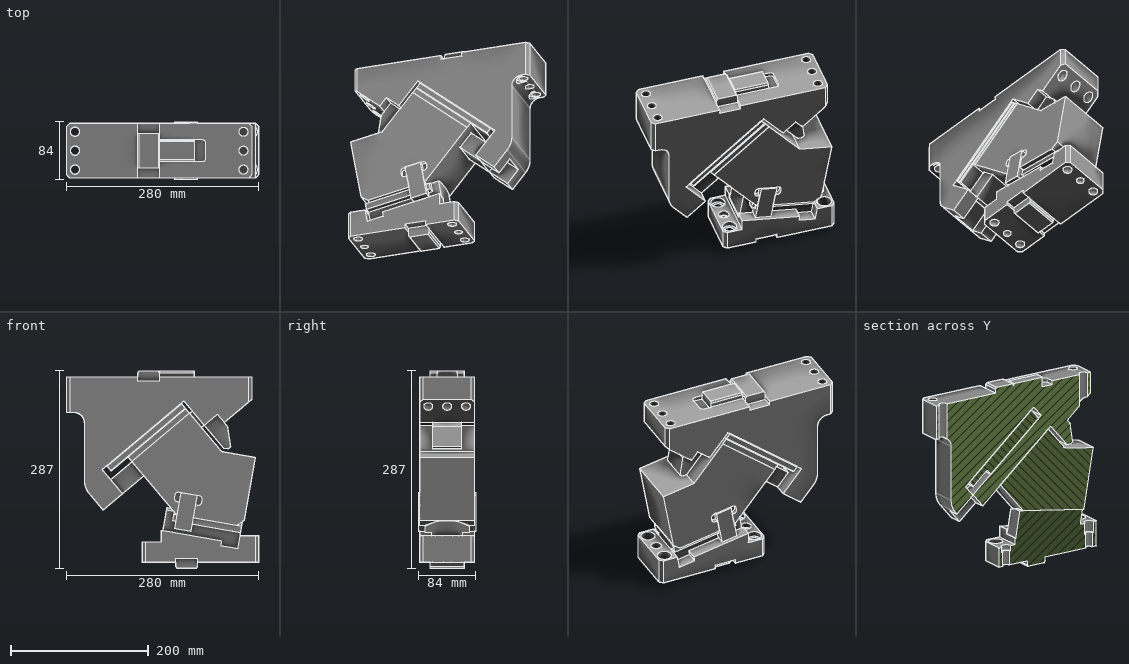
import cadquery as cq
import math

body_width = 80.0
corner_chamfer = 5.0
hole_inset = 12.5
hole_spacing = 27.5
hole_diameter = 13.0
seat_diameter = 20.0

key_length = 50.0
key_width = 32.0
groove_depth = 6.0
key_projection = 8.5
key_chamfer_height = 2.8
key_chamfer_width = 1.8

base_left = 110.0
base_right = 280.0
base_left_height = 30.0
base_right_height = 39.0
base_wall_x = 137.7
base_key_left = 159.0
base_seat_diameter = 20.5
base_seat_floor = 22.0
dowel_diameter = 15.0
dowel_hole_diameter = 11.0

holder_length = 270.0
holder_top = 270.0
holder_end_height = 32.7
flange_thickness = 52.0
flange_overhang = 26.0
flange_fillet = 15.0
foot_fillet = 30.0
foot_length = 37.0
heel_length = 25.0
holder_key_left = 103.5
lengthwise_key_length = 50.5
lengthwise_key_width = 30.0
lengthwise_slot_end = 202.5
lengthwise_slot_width = 32.0
lengthwise_slot_fillet = 5.0

slide_angle = 40.0
slide_corner_x = 170.9
slide_corner_z = 234.7
slide_length = 155.0
slide_depth = 46.0
rail_width = 42.0
rail_start = 19.0
foot_slot_width = 37.0
foot_slot_start = 20.0
stop_face_depth = 90.0
stop_tip_depth = 94.7
stop_tip_width = 5.0
stop_nose_width = 9.6
stop_shoulder_depth = 69.3
stop_overlap = 1.0

end_gap = 5.0
plate_length = 141.5
plate_thickness = 10.0
gib_end = 18.5
gib_inset = 0.5
joint_gap = 0.8
joint_depth = 2.0
slider_length = 109.5
slider_height = 102.2
slider_overhang = 2.4
slider_chamfer = 9.2

drive_angle = 10.0
seat_corner_x = 250.4
seat_corner_z = 27.0
pocket_depth = 7.0
pocket_length = 25.0
driver_length = 112.0
driver_width = 45.0
driver_notch_overrun = 2.0
wing_width = 65.0
wing_length = 100.3
wing_bottom = 16.6
wing_top = 26.0
roof_angle = 24.0
roof_flat_width = 29.0
roof_fillet = 30.0

hook_right = -71.4
hook_width = 24.1
hook_bottom = 6.0
hook_top = 59.0
hook_outer_y = 42.0
hook_inner_y = 33.7
hook_lip_y = 28.0
hook_lip_top = wing_bottom
recess_length = 40.0
recess_height = 14.0
recess_fillet = 5.0


def slide_point(back, depth):
    """Point 'back' along the slide from its upper corner and 'depth' away from its face."""
    angle = math.radians(slide_angle)
    x = slide_corner_x - back * math.cos(angle) + depth * math.sin(angle)
    z = slide_corner_z - back * math.sin(angle) - depth * math.cos(angle)
    return x, z


def drive_point(along, height):
    """Point 'along' the inclined seat from its right-hand corner and 'height' above it."""
    angle = math.radians(drive_angle)
    x = seat_corner_x + along * math.cos(angle) + height * math.sin(angle)
    z = seat_corner_z - along * math.sin(angle) + height * math.cos(angle)
    return x, z


def drive_height(point):
    """Height of an (x, z) point above the inclined seat."""
    angle = math.radians(drive_angle)
    x, z = point
    return (x - seat_corner_x) * math.sin(angle) + (z - seat_corner_z) * math.cos(angle)


def slider_end_point(back, height):
    """Point where the slider end at 'back' reaches the given height above the inclined seat."""
    fall = math.cos(math.radians(slide_angle + drive_angle))
    depth = (drive_height(slide_point(back, 0)) - height) / fall
    return slide_point(back, depth)


def prism(points, y_min, y_max):
    return cq.Workplane("XZ", origin=(0, y_max, 0)).polyline(points).close().extrude(y_max - y_min)


def slide_band(start, end):
    """Outline of a strip along the whole slide between two depths."""
    return [
        slide_point(0, start),
        slide_point(slide_length, start),
        slide_point(slide_length, end),
        slide_point(0, end),
    ]


def centred_prism(points, width):
    return prism(points, -width / 2, width / 2)


def block(x_min, x_max, y_min, y_max, z_min, z_max):
    size = (x_max - x_min, y_max - y_min, z_max - z_min)
    return cq.Workplane("XY").box(*size, centered=False).translate((x_min, y_min, z_min))


def vertical_holes(x, y_places, diameter, z_min, z_max):
    places = [(x, y) for y in y_places]
    plane = cq.Workplane("XY", origin=(0, 0, z_min))
    return plane.pushPoints(places).circle(diameter / 2).extrude(z_max - z_min)


outer_rows = (-hole_spacing, hole_spacing)
all_rows = (-hole_spacing, 0, hole_spacing)


def cross_key(x_left):
    """Crosswise key standing on z = 0, with both long top edges chamfered."""
    height = groove_depth + key_projection
    x_right = x_left + key_width
    points = [
        (x_left, 0),
        (x_right, 0),
        (x_right, height - key_chamfer_height),
        (x_right - key_chamfer_width, height),
        (x_left + key_chamfer_width, height),
        (x_left, height - key_chamfer_height),
    ]
    return centred_prism(points, key_length)


def lengthwise_key():
    """Lengthwise key standing on z = 0, with both long top edges chamfered."""
    height = groove_depth + key_projection
    half = lengthwise_key_width / 2
    outline = [
        (-half, 0),
        (half, 0),
        (half, height - key_chamfer_height),
        (half - key_chamfer_width, height),
        (key_chamfer_width - half, height),
        (-half, height - key_chamfer_height),
    ]
    key = cq.Workplane("YZ").polyline(outline).close().extrude(lengthwise_key_length)
    return key.translate((holder_key_left + key_width, 0, 0))


def make_rail():
    """Central rail of the holder, which fills a matching slot in the slider."""
    return centred_prism(slide_band(rail_start, slide_depth), rail_width)


def make_stop():
    stop = [
        slide_point(0, slide_depth - stop_overlap),
        slide_point(0, stop_face_depth),
        slide_point(-stop_tip_width, stop_tip_depth),
        slide_point(-stop_nose_width, stop_tip_depth),
        slide_point(-heel_length, stop_shoulder_depth),
        slide_point(-heel_length, slide_depth - stop_overlap),
    ]
    return centred_prism(stop, rail_width)


def make_foot_slot():
    foot_end = slide_length + foot_length
    foot_slot = [
        slide_point(slide_length, foot_slot_start),
        slide_point(slide_length, slide_depth),
        slide_point(foot_end, slide_depth),
        slide_point(foot_end, foot_slot_start),
    ]
    return centred_prism(foot_slot, foot_slot_width)


def fillet_cross_edge(solid, x, z, radius):
    """Round the edge that runs along Y through (x, z)."""
    return solid.edges(cq.selectors.NearestToPointSelector((x, 0, z))).fillet(radius)


def make_holder_block():
    angle = math.radians(slide_angle)
    toe_x, toe_z = slide_point(slide_length + foot_length, slide_depth)
    foot_z = toe_z + (toe_x - flange_overhang) / math.tan(angle)
    flange_z = holder_top - flange_thickness
    end_z = holder_top - holder_end_height
    slope_depth = (holder_length - slide_corner_x) * math.sin(angle)
    slope_depth += (slide_corner_z - end_z) * math.cos(angle)
    points = [
        (0, holder_top),
        (holder_length, holder_top),
        (holder_length, end_z),
        slide_point(-heel_length, slope_depth),
        slide_point(-heel_length, slide_depth),
        slide_point(0, slide_depth),
        slide_point(0, 0),
        slide_point(slide_length, 0),
        slide_point(slide_length, slide_depth),
        (toe_x, toe_z),
        (flange_overhang, foot_z),
        (flange_overhang, flange_z),
        (0, flange_z),
    ]
    holder = centred_prism(points, body_width)
    holder = fillet_cross_edge(holder, flange_overhang, foot_z, foot_fillet)
    holder = fillet_cross_edge(holder, flange_overhang, flange_z, flange_fillet)
    return holder.faces("<X or >X").edges("|Z").chamfer(corner_chamfer)


def cut_holder_holes(holder):
    seat_z = holder_top - flange_thickness
    for x in (hole_inset, holder_length - hole_inset):
        holder = holder.cut(vertical_holes(x, all_rows, hole_diameter, seat_z - flange_fillet, holder_top))
    return holder.cut(vertical_holes(hole_inset, outer_rows, seat_diameter, seat_z - flange_fillet, seat_z))


def add_holder_keys(holder):
    half = body_width / 2
    slot_half = lengthwise_slot_width / 2
    groove_z = holder_top - groove_depth
    groove_right = holder_key_left + key_width
    groove = block(holder_key_left, groove_right, -half, half, groove_z, holder_top)
    slot = block(holder_key_left, lengthwise_slot_end, -slot_half, slot_half, groove_z, holder_top)
    slot = slot.edges("|Z and >X").fillet(lengthwise_slot_fillet)
    holder = holder.cut(groove).cut(slot)
    for key in (cross_key(holder_key_left), lengthwise_key()):
        holder = holder.union(key.translate((0, 0, groove_z)))
    return holder


def make_holder():
    holder = make_holder_block().cut(make_foot_slot())
    holder = holder.union(make_rail()).union(make_stop())
    return add_holder_keys(cut_holder_holes(holder))


def incline(solid):
    """Turn a level solid about the Y axis and set it on the seat's right-hand corner."""
    return solid.rotate((0, 0, 0), (0, 1, 0), drive_angle).translate((seat_corner_x, 0, seat_corner_z))


def make_roofed_bar(right, left):
    """Level bar of full wing width with the driver's V-shaped, flat-topped roof."""
    half = wing_width / 2
    ridge_y = roof_flat_width / 2
    ridge_height = wing_top + (half - ridge_y) * math.tan(math.radians(roof_angle))
    outline = [
        (half, -pocket_depth),
        (half, wing_top),
        (ridge_y, ridge_height),
        (-ridge_y, ridge_height),
        (-half, wing_top),
        (-half, -pocket_depth),
    ]
    bar = cq.Workplane("YZ", origin=(left, 0, 0)).polyline(outline).close().extrude(right - left)
    return bar.faces(">Z").edges("|X").fillet(roof_fillet)


def make_driver():
    neck = driver_width / 2
    half = wing_width / 2
    roof_limit = wing_top + wing_width
    bar = make_roofed_bar(0, -driver_length)
    core = bar.intersect(block(-driver_length, 0, -neck, neck, -pocket_depth, roof_limit))
    wings = bar.intersect(block(-wing_length, 0, -half, half, wing_bottom, roof_limit))
    return incline(core.union(wings))


def make_base():
    seat_rise = math.tan(math.radians(drive_angle))
    wall_z = seat_corner_z + (seat_corner_x - base_wall_x) * seat_rise
    wall_top = (base_right_height - seat_corner_z) / math.cos(math.radians(drive_angle))
    points = [
        (base_left, 0),
        (base_right, 0),
        (base_right, base_right_height),
        drive_point(0, wall_top),
        drive_point(0, -pocket_depth),
        drive_point(-pocket_length, -pocket_depth),
        drive_point(-pocket_length, 0),
        (base_wall_x, wall_z),
        (base_wall_x, base_left_height),
        (base_left, base_left_height),
    ]
    base = centred_prism(points, body_width)
    base = base.faces("<X or >X").edges("|Z").chamfer(corner_chamfer)
    wall_along = (base_wall_x - seat_corner_x) / math.cos(math.radians(drive_angle)) - driver_notch_overrun
    notch = [
        drive_point(wall_along, 0.0),
        drive_point(-driver_length, 0.0),
        drive_point(-driver_length, -pocket_depth),
        drive_point(wall_along, -pocket_depth),
    ]
    driver = make_driver()
    base = base.cut(centred_prism(notch, driver_width)).union(driver)

    base_top = base_right_height
    for x in (base_left + hole_inset, base_right - hole_inset):
        base = base.cut(vertical_holes(x, outer_rows, hole_diameter, 0, base_top))
        base = base.cut(vertical_holes(x, outer_rows, base_seat_diameter, base_seat_floor, base_top))
        base = base.cut(vertical_holes(x, (0,), dowel_hole_diameter, 0, base_top))
        base = base.cut(vertical_holes(x, (0,), dowel_diameter, base_seat_floor, base_top))

    half = body_width / 2
    base = base.cut(block(base_key_left, base_key_left + key_width, -half, half, 0, groove_depth))
    key = cross_key(base_key_left).mirror("XY").translate((0, 0, groove_depth))
    return base.union(key)


def make_hook():
    """Return hook on the -Y side: a plate over the wing with a lip below it."""
    left = hook_right - hook_width
    plate = [
        drive_point(left, hook_bottom),
        drive_point(hook_right, hook_bottom),
        drive_point(hook_right, hook_top),
        drive_point(left, hook_top),
    ]
    lip = [
        drive_point(left, hook_bottom),
        drive_point(hook_right, hook_bottom),
        drive_point(hook_right, hook_lip_top),
        drive_point(left, hook_lip_top),
    ]
    hook = prism(plate, -hook_outer_y, -hook_inner_y)
    return hook.union(prism(lip, -hook_outer_y, -hook_lip_y))


def make_hook_recess():
    left = hook_right - hook_width / 2 - recess_length / 2
    recess_bottom = hook_top - recess_height
    points = [
        drive_point(left, recess_bottom),
        drive_point(left + recess_length, recess_bottom),
        drive_point(left + recess_length, hook_top),
        drive_point(left, hook_top),
    ]
    return prism(points, -body_width / 2, -hook_inner_y).edges("|Y").fillet(recess_fillet)


def make_slider():
    far_end = end_gap + slider_length
    top = wing_top + slider_height
    points = [
        slide_point(end_gap, 0),
        slider_end_point(end_gap, top),
        drive_point(slider_overhang, top),
        drive_point(slider_overhang, wing_top + slider_chamfer),
        drive_point(slider_overhang - slider_chamfer, wing_top),
        slider_end_point(far_end, wing_top),
        slide_point(far_end, plate_thickness),
        slide_point(end_gap + plate_length, plate_thickness),
        slide_point(end_gap + plate_length, 0),
    ]
    slider = centred_prism(points, body_width)
    side = body_width / 2
    for start, end, depth in (
        (0, joint_gap, joint_depth),
        (joint_gap, gib_end, gib_inset),
        (plate_thickness - joint_gap, plate_thickness, joint_depth),
    ):
        band = slide_band(start, end)
        slider = slider.cut(prism(band, -side, depth - side)).cut(prism(band, side - depth, side))
    slider = slider.cut(incline(make_roofed_bar(slider_overhang, -driver_length)))
    slider = slider.cut(make_rail())
    hook = make_hook()
    recess = make_hook_recess()
    for part in (recess, recess.mirror("XZ")):
        slider = slider.cut(part)
    for part in (hook, hook.mirror("XZ")):
        slider = slider.union(part)
    return slider


holder = make_holder()
slider = make_slider()
base = make_base()
result = cq.Compound.makeCompound([body.solids().val() for body in (holder, slider, base)])